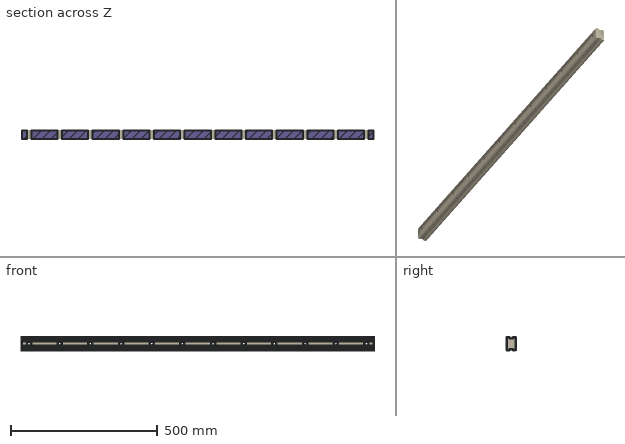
import cadquery as cq
import math

length = 1205.0
height = 32.0
width = 45.0

half_width = width / 2
base_y = height / 2
head_y = -height / 2

crown_outer_y = 11.2
crown_inner_y = 8.0
base_outer_slope = math.radians(13)
base_inner_slope = math.radians(14.5)

waist_half_width = 18.5
waist_base_y = 5.0
waist_head_y = -3.5
head_slope = math.radians(45)

head_chamfer = 1.8

groove_near_z = 7.0
groove_far_z = 15.0
groove_side_run = 1.0
groove_depth = 0.5

hole_count = 12
hole_pitch = 105.0
hole_diameter = 14.0


def make_rail_body():
    """Extrude the cross-section, which is symmetric about Z = 0 and includes both grooves, along X."""
    base_edge_z = half_width - (base_y - crown_outer_y) * math.tan(base_outer_slope)
    step_z = half_width - (crown_inner_y - waist_base_y) * math.tan(base_inner_slope)
    head_corner_y = waist_head_y - (half_width - waist_half_width) / math.tan(head_slope)
    groove_floor_y = head_y + groove_depth
    upper_side = [
        (base_y, base_edge_z),
        (crown_outer_y, half_width),
        (crown_inner_y, half_width),
        (waist_base_y, step_z),
        (waist_base_y, waist_half_width),
        (waist_head_y, waist_half_width),
        (head_corner_y, half_width),
        (head_y + head_chamfer, half_width),
        (head_y, half_width - head_chamfer),
        (head_y, groove_far_z),
        (groove_floor_y, groove_far_z - groove_side_run),
        (groove_floor_y, groove_near_z + groove_side_run),
        (head_y, groove_near_z),
    ]
    lower_side = [(y, -z) for y, z in reversed(upper_side)]
    outline = cq.Workplane("YZ").polyline(upper_side + lower_side).close()
    return outline.extrude(length / 2, both=True)


def drill_mounting_holes(body):
    """Drill the evenly spaced row of through holes, centred on the length."""
    holes = (
        cq.Workplane("XZ", origin=(0, base_y, 0))
        .rarray(hole_pitch, 1, hole_count, 1)
        .circle(hole_diameter / 2)
        .extrude(height)
    )
    return body.cut(holes)


result = drill_mounting_holes(make_rail_body())